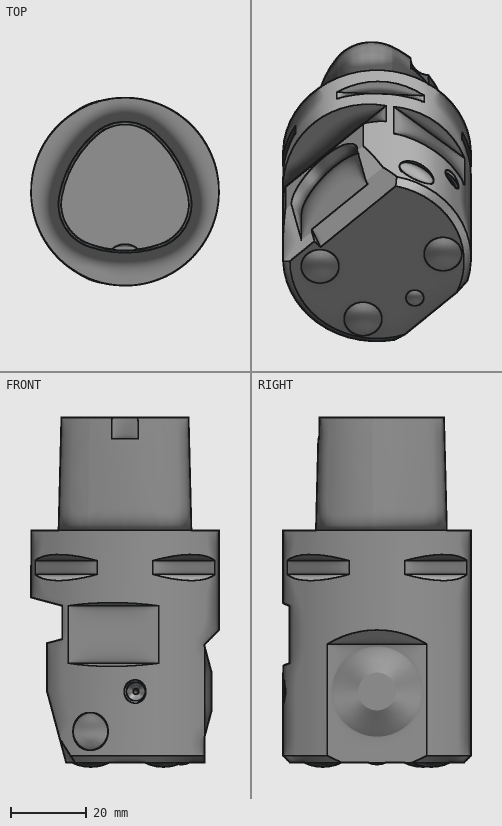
import cadquery as cq
import math

body_radius = 25.0
overall_height = 93.0
shank_height = 30.0
body_length = 61.7
end_chamfer = 1.9
far = 55.8

lobe_radius = 12.0
lobe_center_distance = 6.6
flank_distance = 16.3
shank_taper = math.degrees(math.atan(1 / 40))
notch_diameter = 10.0
notch_center_y = -19.0
notch_depth = 5.8

gripper_floor_distance = 22.1
gripper_floor_top = -8.1
gripper_floor_bottom = -11.7
gripper_flank_angle = 30

recess_angle = -98
recess_floor_distance = 21.8
recess_floor_top = -20.1
recess_floor_bottom = -35.3
recess_flank_angle = 15

groove_floor_distance = 16.7
groove_floor_bottom = -28.9
flat_distance = 20.7
slope_top = -42.9
slope_angle = 15

pocket_width = 23.8
pocket_center_z = slope_top

step_side_y = 8.2
step_top_z = -56.4
step_bottom_x = -13.3

relief_distance = 21.2
relief_top = -30.3
cap_base_diameter = 24.0
cap_top_diameter = 10.0
cap_height = 1.9

plug_diameter = 10.0
large_plug_diameter = 12.0
small_pin_diameter = 4.7
plug_tilt = 22
front_plug_z = -53.45
front_plug_rim = 24.4
front_plug_crown = 0.8
back_plug_z = -26.4
back_plug_rim = 24.0
back_plug_crown = 1.2
end_plug_crown = overall_height - shank_height - body_length
end_plug_centers = [(10.2, 14.4), (10.2, -14.4), (-9.1, 12.2)]
small_pin_center = (14.9, 0)
small_pin_crown = 0.6
side_hole_diameter = 8.5
side_hole_z = -38.1
side_hole_depth = 11.2
nozzle_x = 2.9
nozzle_z = pocket_center_z
nozzle_mouth_diameter = 6.2
nozzle_bore_diameter = 5.0
nozzle_drill_diameter = 1.5
nozzle_bore_depth = 1.4
drill_point_angle = 118


def polar(radius, angle):
    a = math.radians(angle)
    return (radius * math.cos(a), radius * math.sin(a))


def radial_plane(angle, distance, z):
    """Plane facing outward; local x runs around the body and local y runs up."""
    x, y = polar(distance, angle)
    tangent = polar(1, angle + 90)
    outward = polar(1, angle)
    return cq.Plane(origin=(x, y, z), xDir=(*tangent, 0), normal=(*outward, 0))


def prism_along_y(points):
    """Prism across the whole body from (x, z) points."""
    return cq.Workplane("XZ").polyline(points).close().extrude(far, both=True)


def flanked_cut(angle, floor_distance, floor_top, floor_bottom, flank_angle):
    """Straight groove with a flat floor and flanks that open outward."""
    depth = far - floor_distance
    spread = depth * math.tan(math.radians(flank_angle))
    section = [
        (floor_distance, floor_bottom),
        (far, floor_bottom - spread),
        (far, floor_top + spread),
        (floor_distance, floor_top),
    ]
    return prism_along_y(section).rotate((0, 0, 0), (0, 0, 1), angle)


def crowned_disk(plane, diameter, crown, depth):
    """Round plug whose rim lies on the plane, with a spherical crown above it."""
    radius = diameter / 2
    sphere_radius = (radius**2 + crown**2) / (2 * crown)
    mid_x = radius / 2
    mid_y = crown - sphere_radius + math.sqrt(sphere_radius**2 - mid_x**2)
    return (
        cq.Workplane(plane)
        .moveTo(0, -depth)
        .lineTo(radius, -depth)
        .lineTo(radius, 0)
        .threePointArc((mid_x, mid_y), (0, crown))
        .close()
        .revolve(360, (0, 0), (0, 1))
    )


def axial_plane(origin, direction):
    """Plane whose local y is the given direction, for revolving about it."""
    dx, dy, dz = direction
    is_horizontal = dz == 0
    side = (-dy, dx, 0) if is_horizontal else (1, 0, 0)
    normal = cq.Vector(*side).cross(cq.Vector(*direction))
    return cq.Plane(origin=origin, xDir=side, normal=normal.toTuple())


def shank():
    """Six tangent arcs: three tight lobes joined by three gently curved sides."""
    lobe_x = lobe_center_distance * math.cos(math.radians(30))
    lobe_y = -lobe_center_distance / 2
    slack = flank_distance - lobe_radius
    center_y = (lobe_x**2 + lobe_y**2 - slack**2) / (2 * (slack + lobe_y))
    side_radius = center_y + flank_distance
    half_angle = math.degrees(math.atan2(lobe_x, center_y - lobe_y))

    joint_x = side_radius * math.sin(math.radians(half_angle))
    joint_y = center_y - side_radius * math.cos(math.radians(half_angle))
    joint_radius = math.hypot(joint_x, joint_y)
    joint_turn = math.degrees(math.atan2(joint_x, -joint_y))
    tip_radius = lobe_center_distance + lobe_radius

    outline = cq.Workplane("XY").moveTo(*polar(joint_radius, -90 - joint_turn))
    for middle in (-90, 30, 150):
        side_middle = polar(flank_distance, middle)
        side_end = polar(joint_radius, middle + joint_turn)
        outline = outline.threePointArc(side_middle, side_end)
        lobe_tip = polar(tip_radius, middle + 60)
        lobe_end = polar(joint_radius, middle + 120 - joint_turn)
        outline = outline.threePointArc(lobe_tip, lobe_end)
    solid = outline.close().extrude(shank_height, taper=shank_taper)

    notch = (
        cq.Workplane("XY", origin=(0, notch_center_y, shank_height - notch_depth))
        .circle(notch_diameter / 2)
        .extrude(far)
    )
    return solid.cut(notch)


def body():
    cylinder = cq.Workplane("XY").circle(body_radius).extrude(-body_length)
    return cylinder.faces("<Z").chamfer(end_chamfer)


def gripper_grooves():
    groove = flanked_cut(
        0,
        gripper_floor_distance,
        gripper_floor_top,
        gripper_floor_bottom,
        gripper_flank_angle,
    )
    return [groove.rotate((0, 0, 0), (0, 0, 1), angle) for angle in (45, 135, 225, 315)]


def front_recess():
    return flanked_cut(
        recess_angle,
        recess_floor_distance,
        recess_floor_top,
        recess_floor_bottom,
        recess_flank_angle,
    )


def cross_groove():
    return flanked_cut(
        180, groove_floor_distance, recess_floor_top, groove_floor_bottom, recess_flank_angle
    )


def sloped_foot():
    run = (far + slope_top + body_length) * math.tan(math.radians(slope_angle))
    return prism_along_y(
        [
            (-flat_distance, groove_floor_bottom),
            (-flat_distance, slope_top),
            (-flat_distance + run, -body_length - far),
            (-far, -body_length - far),
            (-far, groove_floor_bottom),
        ]
    )


def pocket():
    plane = radial_plane(180, groove_floor_distance, pocket_center_z)
    round_top = cq.Workplane(plane).circle(pocket_width / 2).extrude(far)
    straight_sides = (
        cq.Workplane(plane).center(0, -far / 2).rect(pocket_width, far).extrude(far)
    )
    return round_top.union(straight_sides)


def corner_step():
    """Undercut below the pocket; its side wall faces -Y."""
    slope = (step_bottom_x + groove_floor_distance) / (step_top_z + body_length)
    rise = (far - groove_floor_distance) / slope
    return (
        cq.Workplane("XZ", origin=(0, step_side_y, 0))
        .moveTo(step_bottom_x, -body_length)
        .lineTo(-far, step_top_z + rise)
        .lineTo(-far, -body_length)
        .close()
        .extrude(far)
    )


def back_relief():
    reach = far - relief_distance
    return prism_along_y(
        [
            (relief_distance, relief_top),
            (far, relief_top + reach),
            (far, -far - body_length),
            (relief_distance, -far - body_length),
        ]
    )


def back_cap():
    plane = radial_plane(0, relief_distance, pocket_center_z)
    return (
        cq.Workplane(plane)
        .circle(cap_base_diameter / 2)
        .workplane(offset=cap_height)
        .circle(cap_top_diameter / 2)
        .loft()
    )


def fit_side_plug(part, angle, z, diameter, rim_distance, crown):
    """Bore a flat seat into the curved side and fill it with a crowned plug."""
    seat_plane = radial_plane(angle, rim_distance, z)
    seat = cq.Workplane(seat_plane).circle(diameter / 2).extrude(far)
    outward = (*polar(1, angle), 0)
    plug_plane = axial_plane(seat_plane.origin.toTuple(), outward)
    plug = crowned_disk(plug_plane, diameter, crown, body_radius - rim_distance)
    return part.cut(seat).union(plug)


def fit_end_plug(part, center, diameter, crown):
    plane = axial_plane((*center, -body_length), (0, 0, -1))
    return part.union(crowned_disk(plane, diameter, crown, end_chamfer))


def side_hole():
    plane = radial_plane(90 + plug_tilt, body_radius - side_hole_depth, side_hole_z)
    return cq.Workplane(plane).circle(side_hole_diameter / 2).extrude(far)


def nozzle():
    """Stepped conical mouth narrowing to a fine drilled hole, running along Y."""
    mouth = nozzle_mouth_diameter / 2
    bore = nozzle_bore_diameter / 2
    drill = nozzle_drill_diameter / 2
    surface_y = -math.sqrt(body_radius**2 - nozzle_x**2)
    mouth_end = mouth - bore
    point_ratio = 1 / math.tan(math.radians(drill_point_angle / 2))
    cone_end = nozzle_bore_depth + (bore - drill) * point_ratio
    drill_end = cone_end + nozzle_drill_diameter
    plane = axial_plane((nozzle_x, surface_y, nozzle_z), (0, 1, 0))
    outline = [
        (0, -far),
        (mouth, -far),
        (mouth, 0),
        (bore, mouth_end),
        (bore, nozzle_bore_depth),
        (drill, cone_end),
        (drill, drill_end),
        (0, drill_end + drill * point_ratio),
    ]
    return cq.Workplane(plane).polyline(outline).close().revolve(360, (0, 0), (0, 1))


result = body().union(shank())
for cutter in (
    *gripper_grooves(),
    front_recess(),
    cross_groove(),
    sloped_foot(),
    pocket(),
    corner_step(),
    back_relief(),
    side_hole(),
    nozzle(),
):
    result = result.cut(cutter)

result = result.union(back_cap())
result = fit_side_plug(
    result, -90 - plug_tilt, front_plug_z, plug_diameter, front_plug_rim, front_plug_crown
)
result = fit_side_plug(
    result, 90 + plug_tilt, back_plug_z, large_plug_diameter, back_plug_rim, back_plug_crown
)
for plug_center in end_plug_centers:
    result = fit_end_plug(result, plug_center, plug_diameter, end_plug_crown)
result = fit_end_plug(result, small_pin_center, small_pin_diameter, small_pin_crown)